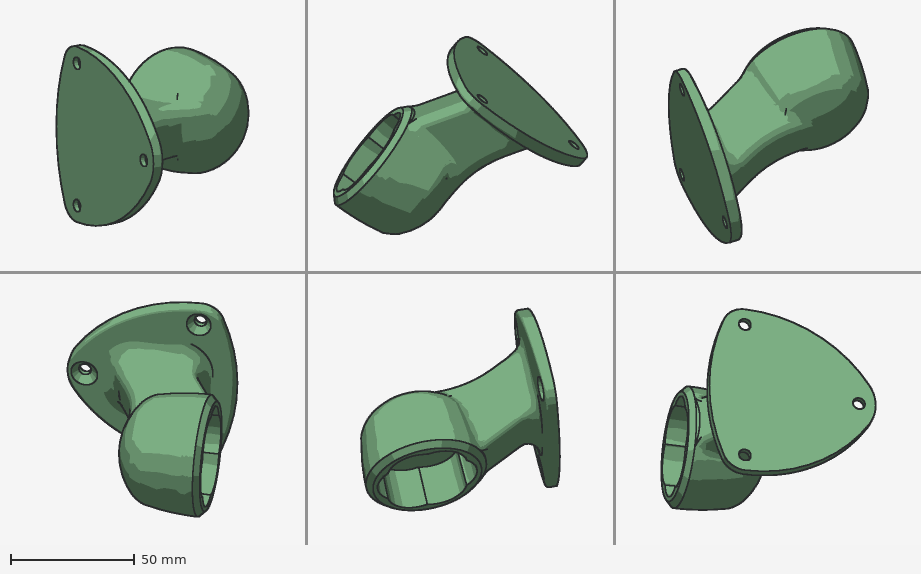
import cadquery as cq
import math

PLATE_LENGTH = 70.0
PLATE_HEIGHT = 74.0
PLATE_LEFT = 0.2
PLATE_CROWN = 6.3
CROWN_RADIUS = 480.0
PLATE_EDGE_ROUND = 1.4
CORNER_RADIUS = 9.6
CORNER_X = 15.0
TIP_RADIUS = 16.0

HOLE_DIAMETER = 5.0
COUNTERSINK_START = 2.5
HOLE_X = 15.0
HOLE_Z = 30.0
TIP_HOLE_X = 63.0

CUP_RADIUS = 25.0
CUP_Y = 80 - CUP_RADIUS
RIM_CHAMFER = 2.5
RIM_EXCESS = 9.6
BARREL_END_X = 24.8
BARREL_END_RADIUS = 22.6
SHOULDER_END_X = 29.8
SHOULDER_END_RADIUS = 19.4
CUP_END_X = 37.5
BARREL_CURVE_RADIUS = 101.6
SHOULDER_CURVE_RADIUS = 16.0

POCKET_DEPTH = 18.0
POCKET_TAPER = 1.5
LOBE_COUNT = 6
LOBE_OFFSET = 8.3
LOBE_RADIUS = 12.3

NECK_TILT = math.radians(30)
NECK_LEFT_X = 21.3
NECK_RIGHT_X = 54.7
NECK_HALF_WIDTH = 11.4
NECK_TOP_X = 36.8
NECK_TOP_Y = 57.6
BEND_TANGENT = 12.8
NECK_LEFT_TOP_Y = 32.8
NECK_LEFT_ROUND = 4.0
NECK_RIGHT_ROUND = 7.2
CUP_BLEND_RADIUS = 6.4

FOOT_Y = 5.6
FOOT_LEFT_RADIUS = 5.0
FOOT_RADIUS = 10.0
FOOT_TOP_Y = FOOT_Y + FOOT_RADIUS
FOOT_SECTIONS = 8
FOOT_SKIRT = 1.6

CONTACT_TOLERANCE = 0.001


def point_on_ray(center, through, distance):
    """Point at a distance from center, on the ray from center through another point."""
    dx = through[0] - center[0]
    dz = through[1] - center[1]
    length = math.hypot(dx, dz)
    return (center[0] + distance * dx / length, center[1] + distance * dz / length)


def mirrored(point):
    return (point[0], -point[1])


def make_plate():
    top_z = PLATE_HEIGHT / 2
    corner = (CORNER_X, top_z - CORNER_RADIUS)
    tip = (PLATE_LENGTH - TIP_RADIUS, 0)

    run = tip[0] - CORNER_X
    side_radius = (run**2 + top_z**2 - TIP_RADIUS**2) / (2 * (top_z - TIP_RADIUS))
    side = (CORNER_X, top_z - side_radius)

    inset = CORNER_X - PLATE_LEFT
    left_radius = (inset**2 + corner[1]**2 - CORNER_RADIUS**2) / (2 * (inset - CORNER_RADIUS))
    left = (PLATE_LEFT + left_radius, 0)

    side_start = (CORNER_X, top_z)
    side_end = point_on_ray(side, tip, side_radius)
    side_mid = point_on_ray(
        side, ((side_start[0] + side_end[0]) / 2, (side_start[1] + side_end[1]) / 2), side_radius
    )
    left_end = point_on_ray(left, corner, left_radius)
    corner_mid = point_on_ray(
        corner, ((side_start[0] + left_end[0]) / 2, (side_start[1] + left_end[1]) / 2), CORNER_RADIUS
    )
    blank = (
        cq.Workplane("XZ")
        .moveTo(*side_start)
        .threePointArc(side_mid, side_end)
        .threePointArc((PLATE_LENGTH, 0), mirrored(side_end))
        .threePointArc(mirrored(side_mid), mirrored(side_start))
        .threePointArc(mirrored(corner_mid), mirrored(left_end))
        .threePointArc((PLATE_LEFT, 0), left_end)
        .threePointArc(corner_mid, side_start)
        .close()
        .extrude(-2 * PLATE_CROWN)
    )
    crown = cq.Workplane("XY").sphere(CROWN_RADIUS)
    crown = crown.translate((PLATE_LENGTH / 2, PLATE_CROWN - CROWN_RADIUS, 0))
    return blank.intersect(crown).faces(">Y").edges().fillet(PLATE_EDGE_ROUND)


def make_holes():
    """Screw holes, straight behind the flat face and widening at 45 degrees toward the neck side."""
    hole_radius = HOLE_DIAMETER / 2
    flare = PLATE_CROWN - COUNTERSINK_START
    hole = (
        cq.Workplane("XY")
        .lineTo(hole_radius, 0)
        .lineTo(hole_radius, COUNTERSINK_START)
        .lineTo(hole_radius + flare, PLATE_CROWN)
        .lineTo(0, PLATE_CROWN)
        .close()
        .revolve(360, (0, 0, 0), (0, 1, 0))
    )
    upper = hole.translate((HOLE_X, 0, HOLE_Z))
    lower = hole.translate((HOLE_X, 0, -HOLE_Z))
    return upper.union(lower).union(hole.translate((TIP_HOLE_X, 0, 0)))


def make_cup():
    """Cup body about the X axis, with its barrel left long past the rim for trimming."""
    dome_depth = CUP_END_X - SHOULDER_END_X
    dome_radius = (SHOULDER_END_RADIUS**2 + dome_depth**2) / (2 * dome_depth)
    return (
        cq.Workplane("XY", origin=(0, CUP_Y, 0))
        .moveTo(-RIM_EXCESS, 0)
        .lineTo(-RIM_EXCESS, CUP_RADIUS)
        .lineTo(RIM_CHAMFER, CUP_RADIUS)
        .radiusArc((BARREL_END_X, BARREL_END_RADIUS), BARREL_CURVE_RADIUS)
        .radiusArc((SHOULDER_END_X, SHOULDER_END_RADIUS), SHOULDER_CURVE_RADIUS)
        .radiusArc((CUP_END_X, 0), dome_radius)
        .close()
        .revolve(360, (0, 0, 0), (1, 0, 0))
    )


def make_rim_trim():
    """Everything in front of the rim plane X = 0 and of its conical chamfer."""
    reach = CUP_RADIUS + RIM_EXCESS
    return (
        cq.Workplane("XY", origin=(0, CUP_Y, 0))
        .moveTo(-2 * RIM_EXCESS, 0)
        .lineTo(0, 0)
        .lineTo(0, CUP_RADIUS - RIM_CHAMFER)
        .lineTo(RIM_CHAMFER, CUP_RADIUS)
        .lineTo(RIM_CHAMFER, reach)
        .lineTo(-2 * RIM_EXCESS, reach)
        .close()
        .revolve(360, (0, 0, 0), (1, 0, 0))
    )


def make_pocket():
    """Six overlapping tapered round lobes; the ridges between them run along the pocket wall."""
    pocket = None
    for i in range(LOBE_COUNT):
        angle = 2 * math.pi * i / LOBE_COUNT
        lobe = (
            cq.Workplane("YZ", origin=(0, CUP_Y, 0))
            .center(LOBE_OFFSET * math.cos(angle), LOBE_OFFSET * math.sin(angle))
            .circle(LOBE_RADIUS)
            .extrude(POCKET_DEPTH, taper=POCKET_TAPER)
        )
        pocket = lobe if pocket is None else pocket.union(lobe)
    return pocket


def left_edge_x(y):
    return NECK_LEFT_X - y * math.tan(NECK_TILT)


def right_edge_x(y):
    return NECK_RIGHT_X - y * math.tan(NECK_TILT)


def box_between(low, high):
    return cq.selectors.BoxSelector((*low, -PLATE_HEIGHT), (*high, PLATE_HEIGHT))


def make_neck():
    """Slanted bar above the foot; its right side bends upright and ends inside the cup."""
    bend_y = (NECK_RIGHT_X - NECK_TOP_X) / math.tan(NECK_TILT)
    arc_y = bend_y - BEND_TANGENT * math.cos(NECK_TILT)
    arc_radius = BEND_TANGENT / math.tan(NECK_TILT / 2)
    bar = (
        cq.Workplane("XY", origin=(0, 0, -NECK_HALF_WIDTH))
        .moveTo(left_edge_x(FOOT_TOP_Y), FOOT_TOP_Y)
        .lineTo(right_edge_x(FOOT_TOP_Y), FOOT_TOP_Y)
        .lineTo(right_edge_x(arc_y), arc_y)
        .radiusArc((NECK_TOP_X, bend_y + BEND_TANGENT), arc_radius)
        .lineTo(NECK_TOP_X, NECK_TOP_Y)
        .lineTo(BARREL_END_X, NECK_TOP_Y)
        .lineTo(left_edge_x(NECK_LEFT_TOP_Y), NECK_LEFT_TOP_Y)
        .close()
        .extrude(2 * NECK_HALF_WIDTH)
    )
    left_edges = box_between(
        (left_edge_x(NECK_LEFT_TOP_Y), FOOT_TOP_Y + 0.8), (left_edge_x(FOOT_TOP_Y), NECK_LEFT_TOP_Y - 0.8)
    )
    bar = bar.edges(left_edges).fillet(NECK_LEFT_ROUND)
    right_edges = box_between((NECK_TOP_X - 0.8, bend_y + BEND_TANGENT), (NECK_TOP_X + 0.8, NECK_TOP_Y - 0.8))
    return bar.edges(right_edges).fillet(NECK_RIGHT_ROUND)


def make_chin_trim():
    """Block in front of the neck's flat left side, which meets the cup without a blend."""
    return (
        cq.Workplane("XY", origin=(0, 0, -NECK_HALF_WIDTH))
        .moveTo(left_edge_x(FOOT_TOP_Y), FOOT_TOP_Y)
        .lineTo(left_edge_x(NECK_LEFT_TOP_Y), NECK_LEFT_TOP_Y)
        .lineTo(-RIM_EXCESS, NECK_LEFT_TOP_Y)
        .lineTo(-RIM_EXCESS, FOOT_TOP_Y)
        .close()
        .extrude(2 * NECK_HALF_WIDTH)
    )


def flare_spread(height, radius, lean):
    """Distance from a wall, leaning outward by an angle, to the concave fillet at its foot."""
    if height >= radius * (1 + math.sin(lean)):
        return 0
    below_center = radius - height
    wall_to_center = radius / math.cos(lean) + below_center * math.tan(lean)
    return wall_to_center - math.sqrt(radius**2 - below_center**2)


def foot_section(height):
    """Outline parallel to the plate: a rectangle with a quarter ellipse on each corner."""
    y = FOOT_Y + height
    side = flare_spread(height, FOOT_RADIUS, 0)
    left = left_edge_x(y) - flare_spread(height, FOOT_LEFT_RADIUS, NECK_TILT)
    right = right_edge_x(y) + flare_spread(height, FOOT_RADIUS, -NECK_TILT)
    top = NECK_HALF_WIDTH + side

    right_round = (NECK_RIGHT_ROUND / math.cos(NECK_TILT) + side, NECK_RIGHT_ROUND + side)
    left_round = (NECK_LEFT_ROUND / math.cos(NECK_TILT) + side, NECK_LEFT_ROUND + side)
    corners = [
        ((right - right_round[0], top - right_round[1]), right_round),
        ((left + left_round[0], top - left_round[1]), left_round),
        ((left + left_round[0], left_round[1] - top), left_round),
        ((right - right_round[0], right_round[1] - top), right_round),
    ]
    arcs = []
    for quarter, ((x, z), (round_x, round_z)) in enumerate(corners):
        start = 90 * quarter
        arc = cq.Edge.makeEllipse(
            round_x, round_z, (x, y, z), (0, -1, 0), (1, 0, 0), start, start + 90
        )
        arcs.append(arc)
    sides = [
        cq.Edge.makeLine(arcs[i - 1].endPoint(), arcs[i].startPoint()) for i in range(len(arcs))
    ]
    return cq.Wire.assembleEdges([edge for pair in zip(sides, arcs) for edge in pair])


def make_foot():
    """Flare lofted through sections spaced evenly along the fillet, with a skirt sunk in the plate."""
    sections = []
    for i in range(FOOT_SECTIONS):
        angle = math.pi / 2 * i / (FOOT_SECTIONS - 1)
        sections.append(foot_section(FOOT_RADIUS * (1 - math.cos(angle))))
    flare = cq.Workplane(cq.Solid.makeLoft(sections))
    skirt = cq.Workplane(cq.Solid.extrudeLinear(sections[0], [], cq.Vector(0, -FOOT_SKIRT, 0)))
    return flare.union(skirt)


def join_with_blend(cup, neck):
    """Join cup and neck and round the inner corner where their surfaces meet."""
    cup_solid = cup.val()
    neck_solid = neck.val()

    def on_both(edge):
        middle = cq.Vertex.makeVertex(*edge.positionAt(0.5).toTuple())
        return max(middle.distance(cup_solid), middle.distance(neck_solid)) < CONTACT_TOLERANCE

    joined = cup.union(neck)
    return joined.edges().filter(on_both).fillet(CUP_BLEND_RADIUS)


cup = make_cup()
head = join_with_blend(cup, make_neck())
head = head.cut(make_chin_trim().cut(cup)).cut(make_rim_trim())
body = head.union(make_foot()).union(make_plate())
result = body.cut(make_pocket()).cut(make_holes()).clean()